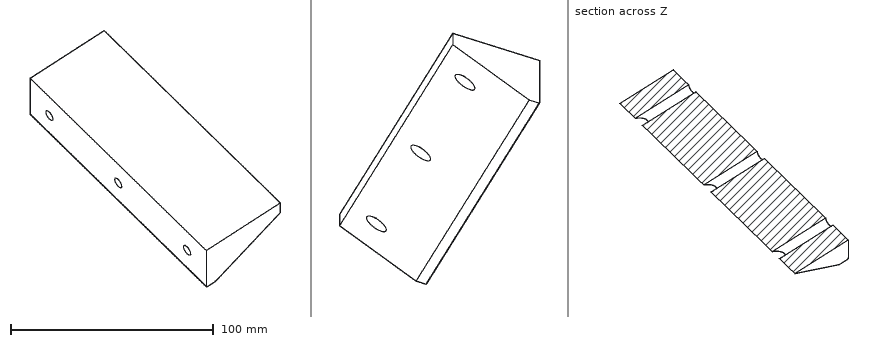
import cadquery as cq

length = 138.0
depth = 47.0
height = 30.0

back_lip_height = 8.0
bottom_land = 5.8
edge_chamfer = 0.5

hole_diameter = 5.5
hole_count = 3
hole_spacing = 54.0
hole_drop = 15.0


def wedge_body():
    """Block whose underside slopes up from the front land to the back lip."""
    lip_bottom = height - back_lip_height
    return (
        cq.Workplane("YZ")
        .moveTo(0, 0)
        .lineTo(bottom_land, 0)
        .lineTo(depth, lip_bottom)
        .lineTo(depth, height)
        .lineTo(0, height)
        .close()
        .extrude(length / 2, both=True)
        .edges("|X and <Y and <Z")
        .chamfer(edge_chamfer)
    )


def hole_row():
    """Cylinders along Y, evenly spaced about the middle of the length."""
    first_x = -hole_spacing * (hole_count - 1) / 2
    centers = [
        (first_x + index * hole_spacing, height - hole_drop)
        for index in range(hole_count)
    ]
    return (
        cq.Workplane("XZ")
        .pushPoints(centers)
        .circle(hole_diameter / 2)
        .extrude(-depth)
    )


result = wedge_body().cut(hole_row())